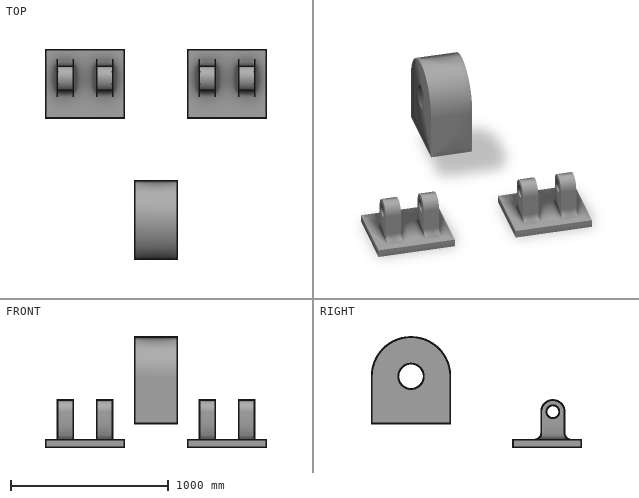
import cadquery as cq

overall_length = 1400.0
overall_depth = 1330.0
overall_height = 700.0

block_length = 270.0
block_width = 500.0
block_height = 550.0
block_bore = 160.0

plate_length = 500.0
plate_depth = 434.0
plate_thickness = 49.0
lug_length = 101.0
lug_spacing = 249.0
lug_width = 150.0
lug_bore = 80.0
lug_bore_height = 176.0
lug_axis_setback = 180.0
lug_foot_radius = 40.0

plate_front = overall_depth - plate_depth
lug_axis_y = overall_depth - lug_axis_setback
lug_axis_z = plate_thickness + lug_bore_height
block_radius = block_width / 2
block_axis_z = overall_height - block_radius
block_bottom = overall_height - block_height


def cross_bore(x_start, length, axis_y, axis_z, diameter):
    """Cylinder along X that cuts a bore."""
    bore = cq.Workplane("YZ", origin=(x_start, axis_y, axis_z)).circle(diameter / 2)
    return bore.extrude(length)


def make_block():
    """Block with flat sides and a half-round top."""
    x_start = (overall_length - block_length) / 2
    profile = (
        cq.Workplane("YZ", origin=(x_start, 0, 0))
        .moveTo(0, block_bottom)
        .lineTo(block_width, block_bottom)
        .lineTo(block_width, block_axis_z)
        .threePointArc((block_radius, overall_height), (0, block_axis_z))
        .close()
    )
    bore = cross_bore(x_start, block_length, block_radius, block_axis_z, block_bore)
    return profile.extrude(block_length).cut(bore)


def make_lug(x_start):
    """Round-topped lug whose front and rear feet flare out onto the plate."""
    half_width = lug_width / 2
    half_foot = half_width + lug_foot_radius
    foot_top = plate_thickness + lug_foot_radius
    profile = (
        cq.Workplane("YZ", origin=(x_start, lug_axis_y, 0))
        .moveTo(-half_foot, plate_thickness)
        .lineTo(half_foot, plate_thickness)
        .radiusArc((half_width, foot_top), lug_foot_radius)
        .lineTo(half_width, lug_axis_z)
        .threePointArc((0, lug_axis_z + half_width), (-half_width, lug_axis_z))
        .lineTo(-half_width, foot_top)
        .radiusArc((-half_foot, plate_thickness), lug_foot_radius)
        .close()
    )
    bore = cross_bore(x_start, lug_length, lug_axis_y, lug_axis_z, lug_bore)
    return profile.extrude(lug_length).cut(bore)


def make_bracket(x_start):
    """Base plate with two lugs placed symmetrically about its middle."""
    bracket = cq.Workplane("XY", origin=(x_start, plate_front, 0)).box(
        plate_length, plate_depth, plate_thickness, centered=False
    )
    plate_middle = x_start + plate_length / 2
    for side in (-1, 1):
        lug_middle = plate_middle + side * lug_spacing / 2
        bracket = bracket.union(make_lug(lug_middle - lug_length / 2))
    return bracket


block = make_block()
brackets = [make_bracket(x_start) for x_start in (0, overall_length - plate_length)]

result = cq.Compound.makeCompound([block.val(), *[bracket.val() for bracket in brackets]])